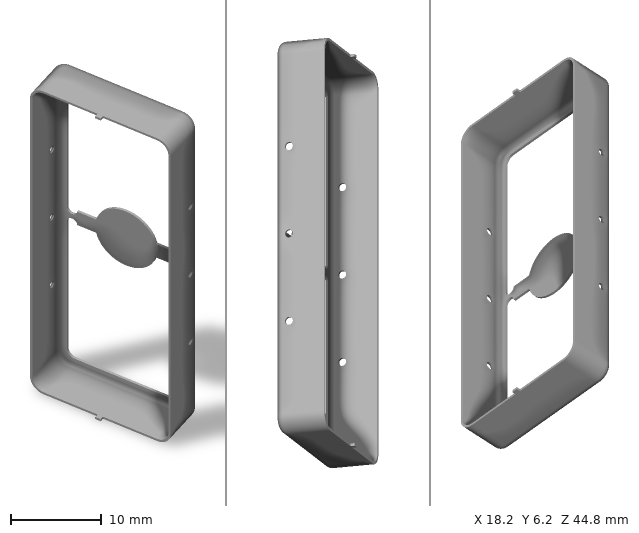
import cadquery as cq

WIDTH = 18.2
HEIGHT = 44.8
TOTAL_DEPTH = 6.2
TAB_LENGTH = 0.5
WALL = 0.3
CORNER_RADIUS = 1.8
BACK_EDGE_RADIUS = 0.8

RIM_WIDTH = 1.5
WINDOW_CORNER_RADIUS = 1.0

DISC_RADIUS = 4.0
ARM_WIDTH = 1.95
NECK_NOTCH_RADIUS = 0.65

HOLE_DIAMETER = 0.9
HOLE_SPACING = 10.0
HOLE_FROM_BACK = 1.55

TAB_WIDTH = 0.7

FRONT_TIP = -TOTAL_DEPTH / 2
FRONT = FRONT_TIP + TAB_LENGTH
BACK = TOTAL_DEPTH / 2
WINDOW_WIDTH = WIDTH - 2 * RIM_WIDTH
WINDOW_HEIGHT = HEIGHT - 2 * RIM_WIDTH


def block(width, height, y_start, y_end):
    """Box centred on X and Z, between two Y positions."""
    depth = y_end - y_start
    return cq.Workplane("XY").box(width, depth, height).translate((0, y_start + depth / 2, 0))


def rounded_block(inset, y_end):
    """Frame outline shrunk by inset, with rounded corners and back edge."""
    body = block(WIDTH - 2 * inset, HEIGHT - 2 * inset, FRONT, y_end)
    body = body.edges("|Y").fillet(CORNER_RADIUS - inset)
    return body.faces(">Y").edges().fillet(BACK_EDGE_RADIUS - inset)


def make_shell():
    """Thin walls and back plate with the rounded window cut through."""
    shell = rounded_block(0, BACK).cut(rounded_block(WALL, BACK - WALL))
    window = block(WINDOW_WIDTH, WINDOW_HEIGHT, FRONT, BACK)
    return shell.cut(window.edges("|Y").fillet(WINDOW_CORNER_RADIUS))


def back_cylinders(radius, points):
    """Cylinders along Y, as thick as the back plate, at (x, z) points."""
    plane = cq.Workplane("XZ", origin=(0, BACK, 0))
    return plane.pushPoints(points).circle(radius).extrude(WALL)


def make_bridge():
    """Disc and arms, notched beside the window edges to form thin necks."""
    arms = block(WIDTH - 2 * BACK_EDGE_RADIUS, ARM_WIDTH, BACK - WALL, BACK)
    notch_x = WINDOW_WIDTH / 2 - NECK_NOTCH_RADIUS
    notch_points = [(sx * notch_x, sz * ARM_WIDTH / 2) for sx in (-1, 1) for sz in (-1, 1)]
    notches = back_cylinders(NECK_NOTCH_RADIUS, notch_points)
    return arms.cut(notches).union(back_cylinders(DISC_RADIUS, [(0, 0)]))


def make_side_holes():
    """A row of holes passing through both side walls."""
    points = [(BACK - HOLE_FROM_BACK, i * HOLE_SPACING) for i in (-1, 0, 1)]
    plane = cq.Workplane("YZ").pushPoints(points)
    return plane.circle(HOLE_DIAMETER / 2).extrude(WIDTH, both=True)


def make_tabs():
    """Tabs as thick as the end walls, at the top and bottom."""
    outer = block(TAB_WIDTH, HEIGHT, FRONT_TIP, FRONT + WALL)
    return outer.cut(block(TAB_WIDTH, HEIGHT - 2 * WALL, FRONT_TIP, FRONT + WALL))


result = make_shell().union(make_bridge()).union(make_tabs()).cut(make_side_holes())